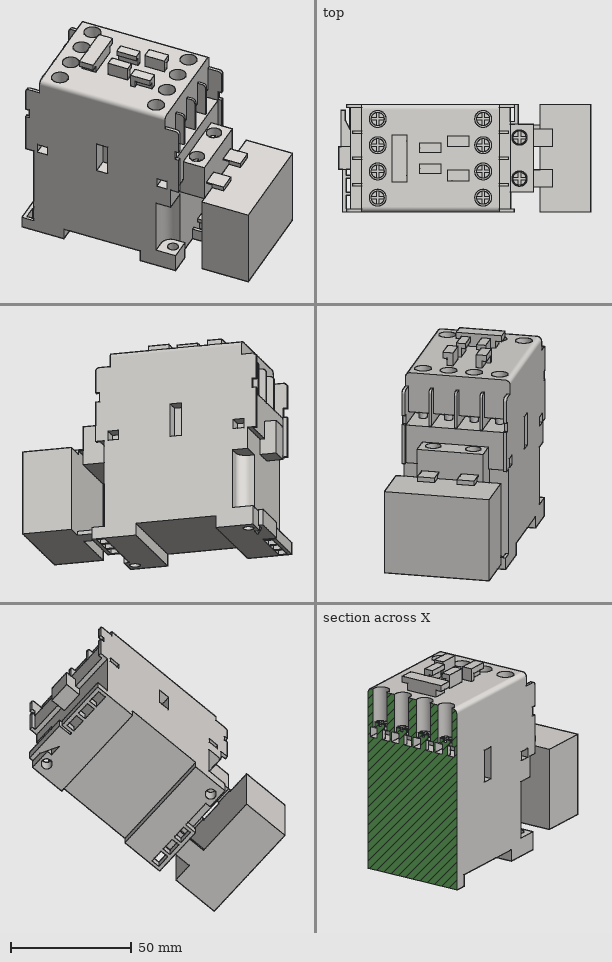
import cadquery as cq


overall_length = 104.9
depth = 44.8
mid_x = 38.2
mid_y = depth / 2

rail_groove_top = 5.1
shoulder_bottom = 42.5
terminal_floor = 59.1
terminal_roof = 63.4
plate_top = 74.6
head_top = 80.6

rail_groove_half = 17.4
head_half = 28.6
body_half = 31.3
fin_half = 32.4
shoulder_half = 33.3
foot_half = 33.6
plate_half = 34.9
base_half = 36.6
head_edge_radius = 2.1

plate_thickness = 1.4
plate_corner_radius = 1.6
notch_bottom = 59.7
notch_height = 4.0
notch_depth = 1.7
fin_thickness = 1.0
pole_count = 4
pole_pitch = 10.9

screw_offset_x = 21.9
screw_hole_diameter = 7.0
coil_hole_diameter = 6.4
screw_head_diameter = 5.5
screw_shank_diameter = 3.5
screw_head_height = 2.6
cross_slot_width = 1.0
cross_slot_depth = 1.3
terminal_depth = 11.5

window_depth = 6.3
slot_width = 4.9
slot_bottom = 41.6
slot_height = 14.2
square_width = 4.6
square_height = 4.0
square_offset_x = 27.3

corner_length = 6.6
corner_width = 9.4
corner_radius = 4.4
corner_top = 33.3
foot_top = 8.1
mounting_hole_diameter = 4.5
mounting_hole_inset_x = 3.5
mounting_hole_inset_y = 5.0
base_end_width = 22.7
base_wall = 1.7
base_rib = 1.4
base_rib_starts = (0.0, 7.0, 14.1, base_end_width - base_rib)

clip_thickness = 6.8
clip_x = 0.9
clip_y_min = 23.5
clip_y_max = 42.5
clip_arm_x = 2.8
clip_taper_y = 38.2
clip_root_y = 30.4
link_y_min = 27.3
link_y_max = 36.3

end_block_y_min = 17.8
end_block_y_max = 27.3
end_block_bottom = 35.9
end_block_top = 50.1

coil_block_x_max = 81.1
coil_block_y_min = 8.4
coil_block_y_max = 36.6
coil_block_bottom = 35.6
coil_block_top = 52.1
coil_screw_x = 75.2
coil_screw_pitch = 17.1
coil_hole_depth = 6.3

box_x_min = 83.7
box_top = 40.9
tab_x_max = 89.0
tab_top = 42.9
tab_thickness = 0.5
tab_width = 7.3
tab_y_mins = (10.4, 27.3)

bar_x = (22.1, 28.4)
bar_slab_width = 19.5
bar_stem_width = 14.3
hook_x = (45.3, 54.2)
hook_outer_half = 9.3
hook_inner_half = 4.9
hook_leg_length = 1.9
hook_wall = 2.5
slider_x = (33.7, 42.6)
slider_outer_half = 6.3
slider_inner_half = 2.4
slider_wall = 2.1
slab_bottom = 83.6
slab_top = 86.2
slider_slab_bottom = 84.3
slider_top = 86.5


def block(x, y, z):
    """Box spanning the (start, end) pairs along X, Y and Z."""
    size = (x[1] - x[0], y[1] - y[0], z[1] - z[0])
    return cq.Workplane("XY").box(*size, centered=False).translate((x[0], y[0], z[0]))


def pillar(x, y, z, diameter):
    """Vertical cylinder spanning the (start, end) pair z."""
    return cq.Workplane("XY", origin=(x, y, z[0])).circle(diameter / 2).extrude(z[1] - z[0])


def around_mid_x(half):
    return (mid_x - half, mid_x + half)


def around_mid_y(half):
    return (mid_y - half, mid_y + half)


def turned(shape):
    """Copy of the shape turned half a turn about the contactor's vertical axis."""
    return shape.rotate((mid_x, mid_y, 0), (mid_x, mid_y, 1), 180)


def flipped_y(shape):
    """Mirror image of the shape across the plane y = mid_y."""
    return shape.mirror("XZ", (0, mid_y, 0))


def pole_positions(count):
    return [mid_y + pole_pitch * (i - (count - 1) / 2) for i in range(count)]


def screw_head(x, y, bottom):
    """Screw head with a cross slot running right across its top."""
    top = bottom + screw_head_height
    head = pillar(x, y, (bottom, top), screw_head_diameter)
    reach = screw_head_diameter
    for slot_x, slot_y in ((reach, cross_slot_width), (cross_slot_width, reach)):
        slot = block((x - slot_x / 2, x + slot_x / 2), (y - slot_y / 2, y + slot_y / 2),
                     (top - cross_slot_depth, top))
        head = head.cut(slot)
    return head


def rounded_plate(half, y):
    """Upright plate, rounded at its two upper corners, standing above the terminal floor."""
    plate = block(around_mid_x(half), y, (terminal_floor, plate_top))
    return plate.edges("|Y and >Z").fillet(plate_corner_radius)


def side_plate():
    """Plate on the front face with a notch in each end."""
    y = (0, plate_thickness)
    plate = rounded_plate(plate_half, y)
    plate = plate.union(block(around_mid_x(plate_half), y, (shoulder_bottom, terminal_floor)))
    for side in (-1, 1):
        notch_x = sorted((mid_x + side * plate_half, mid_x + side * (plate_half - notch_depth)))
        plate = plate.cut(block(notch_x, y, (notch_bottom, notch_bottom + notch_height)))
    return plate


def housing():
    full_y = (0, depth)
    body = block(around_mid_x(body_half), full_y, (0, terminal_floor))
    body = body.cut(block(around_mid_x(rail_groove_half), full_y, (0, rail_groove_top)))
    body = body.union(block(around_mid_x(shoulder_half), full_y, (shoulder_bottom, terminal_floor)))
    head = block(around_mid_x(head_half), full_y, (terminal_floor, head_top))
    head = head.edges("|X and >Z").fillet(head_edge_radius)
    body = body.union(head)
    plate = side_plate()
    body = body.union(plate).union(flipped_y(plate))
    for y in pole_positions(pole_count - 1):
        body = body.union(rounded_plate(fin_half, (y - fin_thickness / 2, y + fin_thickness / 2)))
    return body


def pole_terminals(body):
    """Wire openings split by dividers under the head and a row of sunk screws, at each end."""
    inner_y = (plate_thickness, depth - plate_thickness)
    opening = block((mid_x - head_half, mid_x - head_half + terminal_depth), inner_y,
                    (terminal_floor, terminal_roof))
    for y in pole_positions(pole_count - 1):
        divider_y = (y - fin_thickness / 2, y + fin_thickness / 2)
        opening = opening.cut(block(around_mid_x(head_half), divider_y, (terminal_floor, terminal_roof)))
    body = body.cut(opening).cut(turned(opening))
    for x in around_mid_x(screw_offset_x):
        for y in pole_positions(pole_count):
            body = body.cut(pillar(x, y, (terminal_roof, head_top), screw_hole_diameter))
            body = body.union(pillar(x, y, (terminal_floor, terminal_roof), screw_shank_diameter))
            body = body.union(screw_head(x, y, terminal_roof))
    return body


def face_windows():
    """Blind slot and two square pockets in the front face."""
    y = (0, window_depth)
    windows = block(around_mid_x(slot_width / 2), y, (slot_bottom, slot_bottom + slot_height))
    for x in around_mid_x(square_offset_x):
        windows = windows.union(block((x - square_width / 2, x + square_width / 2), y,
                                      (shoulder_bottom, shoulder_bottom + square_height)))
    return windows


def mounting_corner(body):
    """Foot with a mounting hole in the +X front corner, below a rounded recess."""
    body_end = mid_x + body_half
    body = body.union(block((body_end - corner_length, mid_x + foot_half), (0, corner_width), (0, foot_top)))
    recess = block((body_end - corner_length, body_end), (0, corner_width), (foot_top, corner_top))
    recess = recess.edges("|Z and <X and >Y").fillet(corner_radius)
    hole = pillar(mid_x + foot_half - mounting_hole_inset_x, mounting_hole_inset_y,
                  (0, foot_top), mounting_hole_diameter)
    return body.cut(recess).cut(hole)


def hollow_base_end():
    """Open frame at the -X end of the base: an outer wall joined to the body by ribs."""
    outer_x = mid_x - base_half
    z = (0, rail_groove_top)
    frame = block((outer_x, outer_x + base_wall), (0, base_end_width), z)
    for y in base_rib_starts:
        frame = frame.union(block((outer_x, mid_x - body_half), (y, y + base_rib), z))
    return frame


def rail_clip():
    root_x = mid_x - body_half
    outline = [(root_x, clip_y_min), (clip_x, clip_y_min), (clip_x, clip_y_max),
               (clip_arm_x, clip_y_max), (clip_arm_x, clip_taper_y), (root_x, clip_root_y)]
    return cq.Workplane("XY").polyline(outline).close().extrude(clip_thickness)


def end_block():
    return block((0, mid_x - body_half), (end_block_y_min, end_block_y_max), (end_block_bottom, end_block_top))


def coil_block():
    """Block with two sunk coil screws."""
    base = block((mid_x + body_half, coil_block_x_max), (coil_block_y_min, coil_block_y_max),
                 (coil_block_bottom, coil_block_top))
    hole_bottom = coil_block_top - coil_hole_depth
    mid = (coil_block_y_min + coil_block_y_max) / 2
    for y in (mid - coil_screw_pitch / 2, mid + coil_screw_pitch / 2):
        base = base.cut(pillar(coil_screw_x, y, (hole_bottom, coil_block_top), coil_hole_diameter))
        base = base.union(screw_head(coil_screw_x, y, hole_bottom))
    return base


def accessory_box():
    """Box tied to the contactor by a link strip and two thin terminal tabs."""
    box = block((box_x_min, overall_length), (0, depth), (rail_groove_top, box_top))
    box = box.union(block((mid_x + body_half, box_x_min), (link_y_min, link_y_max),
                          (rail_groove_top, clip_thickness)))
    for y_min in tab_y_mins:
        y = (y_min, y_min + tab_width)
        box = box.union(block((coil_block_x_max, tab_x_max), y, (tab_top - tab_thickness, tab_top)))
        box = box.union(block((box_x_min, tab_x_max), y, (box_top, tab_top)))
    return box


def indicator_bar():
    slab = block(bar_x, around_mid_y(bar_slab_width / 2), (slab_bottom, slab_top))
    stem = block(bar_x, around_mid_y(bar_stem_width / 2), (head_top, slab_bottom))
    return slab.union(stem)


def hook_button():
    """Slab carried by a leg at its -X end and a wall along its inner side."""
    y = (mid_y - hook_outer_half, mid_y - hook_inner_half)
    slab = block(hook_x, y, (slab_bottom, slab_top))
    leg = block((hook_x[0], hook_x[0] + hook_leg_length), y, (head_top, slab_bottom))
    wall = block(hook_x, (y[1] - hook_wall, y[1]), (head_top, slab_bottom))
    return slab.union(leg).union(wall)


def slider_button():
    """Slab overhanging inwards from a wall along its outer side."""
    y = (mid_y - slider_outer_half, mid_y - slider_inner_half)
    slab = block(slider_x, y, (slider_slab_bottom, slider_top))
    wall = block(slider_x, (y[0], y[0] + slider_wall), (head_top, slider_slab_bottom))
    return slab.union(wall)


contactor = pole_terminals(housing())
windows = face_windows()
contactor = contactor.cut(windows).cut(flipped_y(windows))
contactor = turned(mounting_corner(turned(mounting_corner(contactor))))
base_end = hollow_base_end()
contactor = contactor.union(base_end).union(turned(base_end))
contactor = contactor.union(rail_clip())
contactor = contactor.union(end_block()).union(coil_block()).union(accessory_box()).union(indicator_bar())
for button in (hook_button(), slider_button()):
    contactor = contactor.union(button).union(flipped_y(button))

result = contactor